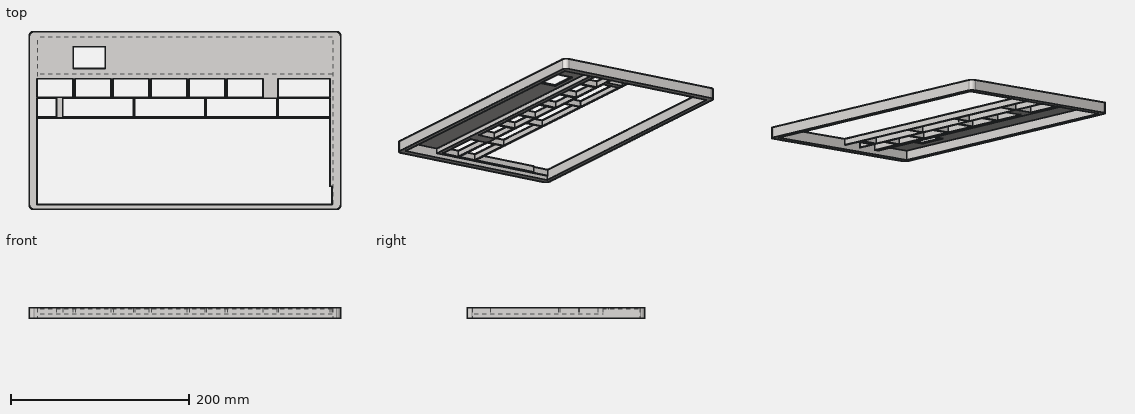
import cadquery as cq

length = 350.0
width = 200.0
height = 12.0
corner_radius = 5.2

side_wall = 8.8
end_wall = 5.5
slab_thickness = 7.0
skin_thickness = 1.5
slab_behind_buttons = 5.5

left = -length / 2 + side_wall
right_margin = 12.2
right = length / 2 - right_margin
front = -width / 2 + end_wall

button_depth = 20.5
rib = 1.5
back_row_top = 47.0
back_row_bottom = back_row_top - button_depth
middle_row_top = back_row_bottom - rib
middle_row_bottom = middle_row_top - button_depth
pad_top = middle_row_bottom - rib

button_count = 6
button_length = 40.2
button_pitch = 42.7
wide_button_length = 58.0

small_button_length = 21.7
long_button_count = 3
long_button_offset = 29.0
long_button_length = 79.0
long_button_pitch = long_button_length + rib

step_depth = 20.3
step_width = 2.0

window_left = -125.3
window_top = 82.5
window_length = 35.7
window_depth = 24.0


def block(x_left, x_right, y_front, y_back, block_height=height):
    """Box standing on the base plane between the given X and Y limits."""
    size_x = x_right - x_left
    size_y = y_back - y_front
    box = cq.Workplane("XY").box(size_x, size_y, block_height, centered=False)
    return box.translate((x_left, y_front, 0))


def case_shell():
    """Rounded case with the underside hollowed to the slab and the thinner skin."""
    body = cq.Workplane("XY").box(length, width, height, centered=(True, True, False))
    body = body.edges("|Z").fillet(corner_radius)
    inner_x = length / 2 - side_wall
    inner_y = width / 2 - end_wall
    skin_front = back_row_top + slab_behind_buttons
    body = body.cut(block(-inner_x, inner_x, -inner_y, inner_y, height - slab_thickness))
    return body.cut(block(-inner_x, inner_x, skin_front, inner_y, height - skin_thickness))


def back_row_openings():
    openings = []
    for i in range(button_count):
        x = left + i * button_pitch
        openings.append(block(x, x + button_length, back_row_bottom, back_row_top))
    openings.append(block(right - wide_button_length, right, back_row_bottom, back_row_top))
    return openings


def middle_row_openings():
    openings = [block(left, left + small_button_length, middle_row_bottom, middle_row_top)]
    for i in range(long_button_count):
        x = left + long_button_offset + i * long_button_pitch
        openings.append(block(x, x + long_button_length, middle_row_bottom, middle_row_top))
    openings.append(block(right - wide_button_length, right, middle_row_bottom, middle_row_top))
    return openings


def pad_openings():
    main = block(left, right, front, pad_top)
    step = block(left, right + step_width, front, front + step_depth)
    return [main, step]


def display_window():
    return block(window_left, window_left + window_length, window_top - window_depth, window_top)


result = case_shell()
for opening in back_row_openings() + middle_row_openings() + pad_openings():
    result = result.cut(opening)
result = result.cut(display_window())